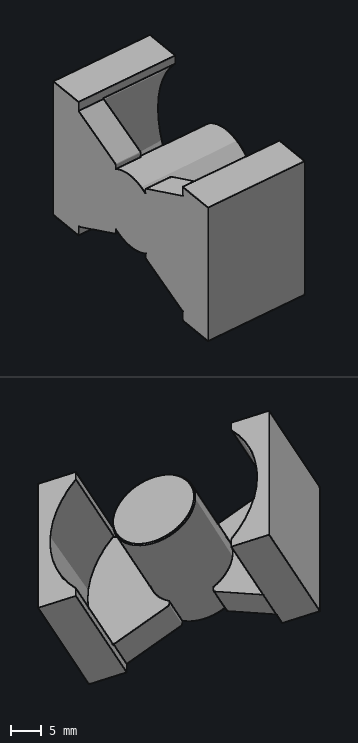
import cadquery as cq

length = 41.5
depth = 19.9
height = 28.0

plate_thickness = 5.15
leg_gap = 27.9
post_diameter = 14.9
post_end_chamfer = 0.2
winding_diameter = 37.2

waist_gap = 7.95
waist_outer_height = 24.25
waist_inner_height = 14.6
waist_corner_radius = 0.4


def cylinder(diameter, start, end):
    """Cylinder about the Y axis from Y = start to Y = end."""
    return cq.Workplane("XZ", origin=(0, start, 0)).circle(diameter / 2).extrude(start - end)


def waist_notch():
    """Upper notch through the full depth, with rounded flank corners."""
    outer_x = leg_gap / 2
    outer_z = waist_outer_height / 2
    inner_x = waist_gap / 2
    inner_z = waist_inner_height / 2
    notch = (
        cq.Workplane("XZ")
        .polyline([
            (-outer_x, height / 2),
            (-outer_x, outer_z),
            (-inner_x, inner_z),
            (-inner_x, 0),
            (inner_x, 0),
            (inner_x, inner_z),
            (outer_x, outer_z),
            (outer_x, height / 2),
        ])
        .close()
        .extrude(-depth)
    )
    margin = 0.05
    corners = cq.selectors.BoxSelector(
        (-inner_x - margin, -margin, inner_z - margin),
        (inner_x + margin, depth + margin, inner_z + margin),
    )
    return notch.edges("|Y").edges(corners).fillet(waist_corner_radius)


body = cq.Workplane("XY").box(length, depth, height, centered=(True, False, True))
upper_notch = waist_notch()
body = body.cut(upper_notch).cut(upper_notch.mirror("XY"))

body = body.cut(cylinder(winding_diameter, plate_thickness, depth))

post = cylinder(post_diameter, 0, depth).faces(">Y").chamfer(post_end_chamfer)
result = body.union(post)